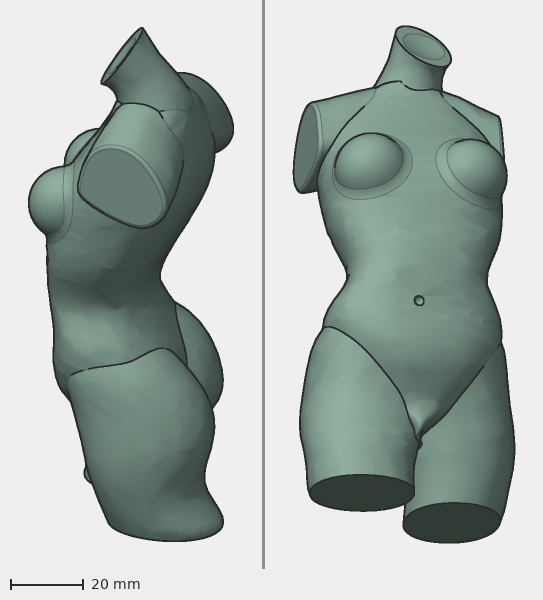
import cadquery as cq
import math

RING_POINTS = 20


def signed_power(value, power):
    """Raise the size of a value to a power and keep its sign."""
    return math.copysign(abs(value) ** power, value)


def closed_curve(points):
    """Smooth closed wire through the points."""
    vectors = [cq.Vector(*point) for point in points]
    even_steps = range(len(points) + 1)
    edge = cq.Edge.makeSpline(vectors, periodic=True, parameters=even_steps)
    return cq.Wire.assembleEdges([edge])


def body_ring(fullness, z, front, back, side_low, side_high, twist=0.0):
    """Horizontal superellipse between the given X and Y limits, turned about its centre.

    A fullness of 2 gives an ellipse; larger values are squarer.
    """
    centre_x = (front + back) / 2
    centre_y = (side_low + side_high) / 2
    half_depth = (back - front) / 2
    half_width = (side_high - side_low) / 2
    turn = math.radians(twist)
    points = []
    for i in range(RING_POINTS):
        angle = 2 * math.pi * i / RING_POINTS
        u = half_depth * signed_power(math.cos(angle), 2 / fullness)
        v = half_width * signed_power(math.sin(angle), 2 / fullness)
        x = centre_x + u * math.cos(turn) - v * math.sin(turn)
        y = centre_y + u * math.sin(turn) + v * math.cos(turn)
        points.append((x, y, z))
    return closed_curve(points)


def skin(wires):
    """Smooth solid through a series of closed wires."""
    return cq.Workplane(cq.Solid.makeLoft(wires, False))


TRUNK_FULLNESS = 2.5
TRUNK_SECTIONS = [
    (14.7, -11.9, -4.2, -2.1, 2.8, 0),
    (22.3, -16.8, 5.6, -7.7, 8.1, 6),
    (32.1, -22.3, 10.5, -16.8, 16.8, 10),
    (41.9, -24.9, 11.2, -23.0, 23.7, 10),
    (51.7, -24.3, 6.4, -23.7, 24.5, 8),
    (61.4, -25.7, 2.5, -19.4, 19.0, 4),
    (72.6, -25.3, 5.9, -22.8, 22.3, 0),
    (83.8, -25.1, 12.1, -24.5, 24.9, 0),
    (95.0, -21.6, 16.6, -24.9, 25.5, 0),
    (106.1, -14.4, 16.6, -23.0, 23.7, 0),
    (114.5, -8.8, 14.5, -16.8, 18.1, 0),
    (121.5, -6.3, 10.9, -8.4, 8.4, 0),
]


def make_trunk():
    return skin([body_ring(TRUNK_FULLNESS, *section) for section in TRUNK_SECTIONS])


THIGH_FULLNESS = 2.1
REAR_THIGH_SECTIONS = [
    (0.0, -4.5, 27.6, -27.4, -1.1),
    (4.2, -5.9, 26.2, -28.6, -1.3),
    (16.0, -10.0, 22.5, -30.3, 0.8),
    (25.1, -12.8, 24.3, -29.9, 3.5),
    (33.5, -15.9, 22.8, -28.2, 4.2),
    (41.9, -18.1, 17.0, -26.7, 2.8),
    (50.3, -16.8, 7.0, -21.5, 0.0),
    (58.6, -14.0, -5.6, -11.2, -4.2),
]
FORWARD_THIGH_SECTIONS = [
    (0.0, -21.9, 7.0, 0.0, 28.6),
    (4.2, -21.5, 7.3, 0.1, 29.3),
    (16.0, -20.0, 9.0, -2.0, 30.6),
    (25.1, -18.7, 16.0, -4.2, 30.2),
    (33.5, -20.1, 16.8, -4.2, 29.0),
    (41.9, -21.0, 13.3, -2.8, 27.8),
    (50.3, -19.5, 5.6, 0.0, 22.3),
    (58.6, -16.8, -5.6, 4.2, 11.2),
]


def make_thigh(sections):
    return skin([body_ring(THIGH_FULLNESS, *section) for section in sections])


ARM_OUTLINE = [
    (-0.1, 1.0), (0.64, 0.56), (1.0, -0.3), (0.72, -0.88),
    (0.1, -1.0), (-0.85, -0.6), (-0.98, -0.05), (-0.75, 0.65),
]
SHOULDER_SECTIONS = [
    (-26.2, -10.3, 17.0, 92.1, 115.0, 0.12, 0.06),
    (-19.5, -9.8, 17.0, 95.0, 117.8, 0.08, 0.03),
    (-11.2, -8.4, 15.6, 99.1, 121.2, 0, 0),
    (0.0, -7.3, 14.2, 101.9, 122.9, 0, 0),
    (11.2, -8.4, 15.6, 99.1, 121.2, 0, 0),
    (19.5, -9.8, 16.2, 95.0, 118.5, 0.08, 0),
    (28.2, -10.3, 15.4, 92.1, 115.3, 0.1, 0),
]
ARM_RIM_RADIUS = 1.1


def shoulder_ring(y, front, back, bottom, top, back_slope, down_slope):
    """Arm outline set across the body, sloping outward toward its back and its bottom."""
    half_depth = (back - front) / 2
    half_height = (top - bottom) / 2
    points = []
    for u, v in ARM_OUTLINE:
        x = (front + back) / 2 + u * half_depth
        z = (bottom + top) / 2 + v * half_height
        outward = back_slope * half_depth * u - down_slope * half_height * v
        points.append((x, y + math.copysign(1, y) * outward, z))
    return closed_curve(points)


def make_shoulders():
    shoulders = skin([shoulder_ring(*section) for section in SHOULDER_SECTIONS])
    rims = shoulders.faces("<Y or >Y").edges()
    return rims.fillet(ARM_RIM_RADIUS)


NECK_SECTIONS = [
    ((3.4, 0.0, 113.1), 0, 0.0, 10.6, 15.4),
    ((1.7, -0.4, 121.2), 22, 0.1, 9.2, 9.6),
    ((-1.5, -1.7, 127.0), 38, 0.2, 7.7, 7.5),
    ((-5.3, -3.2, 132.2), 52, 0.35, 8.8, 7.7),
]
NECK_DISH_DEPTH = 0.8
NECK_DISH_RADIUS = 22.3


def neck_axes(tilt, rise):
    """Directions along the depth and the width of a tilted neck section."""
    depth_axis = cq.Vector(math.cos(math.radians(tilt)), 0, math.sin(math.radians(tilt)))
    width_axis = cq.Vector(0, 1, rise)
    return depth_axis, width_axis


def neck_ring(centre, tilt, rise, half_depth, half_width):
    depth_axis, width_axis = neck_axes(tilt, rise)
    points = []
    for i in range(RING_POINTS):
        angle = 2 * math.pi * i / RING_POINTS
        along_depth = depth_axis * (half_depth * math.cos(angle))
        along_width = width_axis * (half_width * math.sin(angle))
        points.append((cq.Vector(*centre) + along_depth + along_width).toTuple())
    return closed_curve(points)


def make_neck():
    return skin([neck_ring(*section) for section in NECK_SECTIONS])


def make_neck_dish():
    """Ball that hollows the slanted neck face."""
    centre, tilt, rise = NECK_SECTIONS[-1][:3]
    depth_axis, width_axis = neck_axes(tilt, rise)
    outward = depth_axis.cross(width_axis).normalized()
    ball_centre = cq.Vector(*centre) + outward * (NECK_DISH_RADIUS - NECK_DISH_DEPTH)
    return cq.Workplane("XY").sphere(NECK_DISH_RADIUS).translate(ball_centre)


BREAST_RADIUS = 10.0
BREAST_CENTRE_X = -17.9
BREAST_CENTRE_Z = 90.6
BREAST_CENTRES_Y = (-14.0, 13.7)
BREAST_BLEND_RADIUS = 3.5


def add_breast(body, y):
    """Join a ball to the chest and blend it in along the line where they meet."""
    centre = (BREAST_CENTRE_X, y, BREAST_CENTRE_Z)
    ball = cq.Workplane("XY").sphere(BREAST_RADIUS).translate(centre)
    around_ball = cq.selectors.BoxSelector(
        (BREAST_CENTRE_X - BREAST_RADIUS, y - BREAST_RADIUS, BREAST_CENTRE_Z - BREAST_RADIUS),
        (BREAST_CENTRE_X + BREAST_RADIUS, y + BREAST_RADIUS, BREAST_CENTRE_Z + BREAST_RADIUS),
    )
    joined = body.union(ball)
    seam = joined.edges("%BSPLINE").edges(around_ball)
    return seam.fillet(BREAST_BLEND_RADIUS)


NAVEL_RADIUS = 1.4
NAVEL_CENTRE = (-24.9, 1.5, 50.8)


def make_navel():
    return cq.Workplane("XY").sphere(NAVEL_RADIUS).translate(NAVEL_CENTRE)


result = make_trunk()
for breast_y in BREAST_CENTRES_Y:
    result = add_breast(result, breast_y)
result = result.union(make_shoulders())
result = result.union(make_neck())
thighs = make_thigh(REAR_THIGH_SECTIONS).union(make_thigh(FORWARD_THIGH_SECTIONS))
result = result.union(thighs)
result = result.cut(make_neck_dish())
result = result.cut(make_navel())